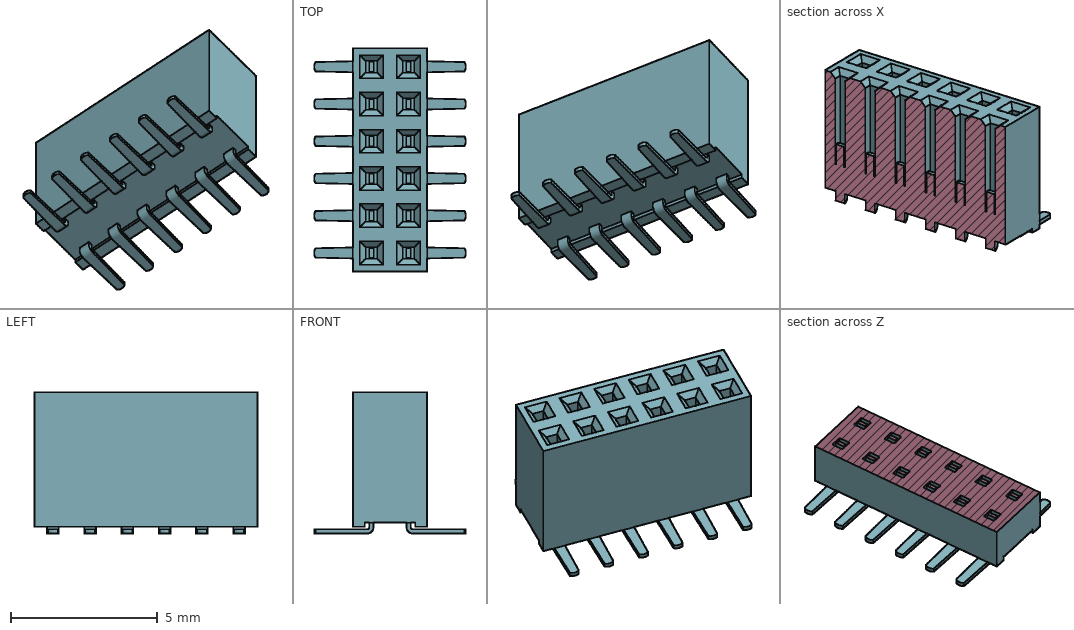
import cadquery as cq

housing_length = 7.62
contacts_per_row = 6
pitch = housing_length / contacts_per_row
housing_width = 2 * pitch
housing_top = 4.83
standoff = 0.23

channel_width = 1.71
channel_depth = 0.145
channel_top = standoff + channel_depth

socket_mouth = 0.8
socket_bore = 0.4
lead_in_depth = 0.2
socket_depth = 3.43
socket_floor = housing_top - socket_depth

lead_span = 5.18
lead_thickness = 0.15
lead_root_width = 0.405
lead_tip_width = 0.33
tip_bulge = 0.05
bend_inner_radius = 0.07
post_width = 0.335
post_rise = 0.76
post_top = socket_floor + post_rise

row_x = pitch / 2
post_outer_x = row_x + lead_thickness / 2
post_inner_x = row_x - lead_thickness / 2
bend_x = post_outer_x + bend_inner_radius
bend_top = lead_thickness + bend_inner_radius
tip_x = lead_span / 2
tip_corner_x = tip_x - tip_bulge


def contact_y_positions():
    return [(i - (contacts_per_row - 1) / 2) * pitch for i in range(contacts_per_row)]


def make_housing():
    block = cq.Workplane("XY", origin=(0, 0, standoff)).box(
        housing_width, housing_length, housing_top - standoff, centered=(True, True, False)
    )
    channel = cq.Workplane("XY", origin=(0, 0, standoff)).box(
        channel_width, housing_length, channel_depth, centered=(True, True, False)
    )
    return block.cut(channel)


def make_socket():
    """Void of one socket in the +X row, centred on Y = 0."""
    bore = cq.Workplane("XY", origin=(row_x, 0, socket_floor)).box(
        socket_bore, socket_bore, socket_depth, centered=(True, True, False)
    )
    lead_in = (
        cq.Workplane("XY", origin=(row_x, 0, housing_top))
        .rect(socket_mouth, socket_mouth)
        .workplane(offset=-lead_in_depth)
        .rect(socket_bore, socket_bore)
        .loft()
    )
    return bore.union(lead_in)


def make_lead():
    """One lead of the +X row, centred on Y = 0."""
    foot = (
        cq.Workplane("XY")
        .moveTo(bend_x, -lead_root_width / 2)
        .lineTo(tip_corner_x, -lead_tip_width / 2)
        .threePointArc((tip_x, 0), (tip_corner_x, lead_tip_width / 2))
        .lineTo(bend_x, lead_root_width / 2)
        .close()
        .extrude(lead_thickness)
    )
    bend = (
        cq.Workplane("XZ")
        .moveTo(bend_x, 0)
        .radiusArc((post_inner_x, bend_top), bend_inner_radius + lead_thickness)
        .lineTo(post_inner_x, channel_top)
        .lineTo(post_outer_x, channel_top)
        .lineTo(post_outer_x, bend_top)
        .radiusArc((bend_x, lead_thickness), -bend_inner_radius)
        .close()
        .extrude(lead_root_width / 2, both=True)
    )
    post = cq.Workplane("XY", origin=(row_x, 0, channel_top)).box(
        lead_thickness, post_width, post_top - channel_top, centered=(True, True, False)
    )
    return foot.union(bend).union(post)


def on_both_rows(shape):
    """Repeat a +X row shape along Y and turn a copy into the -X row."""
    copies = []
    for y in contact_y_positions():
        placed = shape.translate((0, y, 0))
        copies.append(placed)
        copies.append(placed.mirror("YZ"))
    return copies


result = make_housing()
for socket in on_both_rows(make_socket()):
    result = result.cut(socket)
for lead in on_both_rows(make_lead()):
    result = result.union(lead)